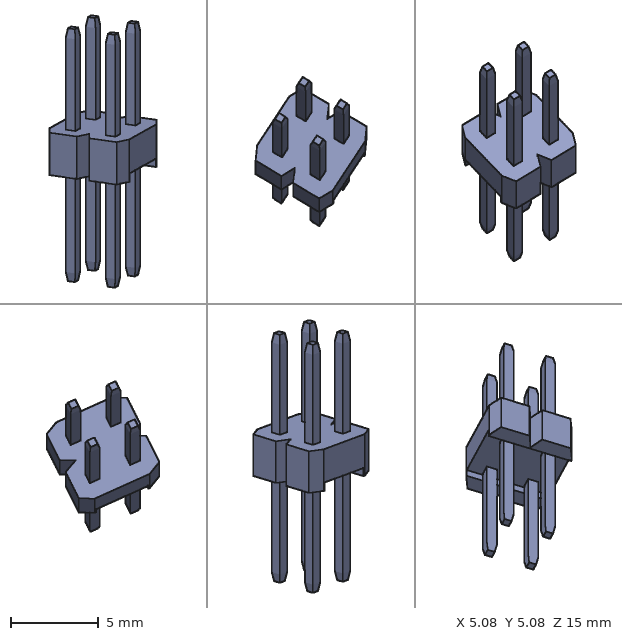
import cadquery as cq

body_side = 5.08
pins_per_side = 2
body_height = 2.52
pin_length = 15.0
pin_width = 0.63
tip_width = 0.44
tip_length = 0.55
pin_above_body = 6.0
corner_x = 0.4
corner_y = 0.81
notch_half_width = 0.39
groove_width = 3.28
groove_depth = 0.5

pitch = body_side / pins_per_side

half_side = body_side / 2
flank_y = half_side - corner_y
body_top = pin_length - pin_above_body
body_bottom = body_top - body_height


def make_body():
    """Insulator with cut corners, V notches between pins and a groove below along X."""
    edge_x = half_side - corner_x
    front_edge = [
        (-half_side, -flank_y),
        (-edge_x, -half_side),
        (-notch_half_width, -half_side),
        (0, -flank_y),
        (notch_half_width, -half_side),
        (edge_x, -half_side),
        (half_side, -flank_y),
    ]
    back_edge = [(-x, -y) for x, y in front_edge]
    block = (
        cq.Workplane("XY")
        .workplane(offset=body_bottom)
        .polyline(front_edge + back_edge)
        .close()
        .extrude(body_height)
    )
    groove = (
        cq.Workplane("XY")
        .workplane(offset=body_bottom)
        .rect(body_side, groove_width)
        .extrude(groove_depth)
    )
    return block.cut(groove)


def make_tip(base_z, end_z):
    """Tapered pin end, full width at base_z and narrowed at end_z."""
    return (
        cq.Workplane("XY")
        .workplane(offset=base_z)
        .rect(pin_width, pin_width)
        .workplane(offset=end_z - base_z)
        .rect(tip_width, tip_width)
        .loft(ruled=True)
    )


def make_pin():
    """Square pin standing on Z = 0 with a taper at both ends."""
    shank = (
        cq.Workplane("XY")
        .workplane(offset=tip_length)
        .rect(pin_width, pin_width)
        .extrude(pin_length - 2 * tip_length)
    )
    lower_tip = make_tip(tip_length, 0)
    upper_tip = make_tip(pin_length - tip_length, pin_length)
    return shank.union(lower_tip).union(upper_tip)


result = make_body()
pin = make_pin()
pin_places = [(i - (pins_per_side - 1) / 2) * pitch for i in range(pins_per_side)]
for pin_x in pin_places:
    for pin_y in pin_places:
        result = result.union(pin.translate((pin_x, pin_y, 0)))